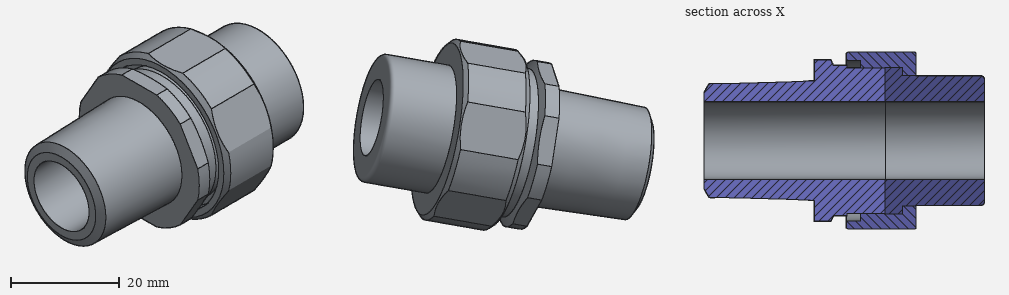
import cadquery as cq
import math

TOTAL_LENGTH = 51.55
BORE_DIAMETER = 14.25

TAPER_START_DIAMETER = 21.0
TAPER_END_DIAMETER = 22.05
TIP_DIAMETER = 17.7
TIP_CHAMFER_LENGTH = 1.0
FLANGE_FRONT = 20.25
FLANGE_CHAMFER_START = 23.0
FLANGE_BACK = 23.8
FLANGE_DIAMETER = 31.05
FLANGE_ACROSS_FLATS = 29.7
SHOULDER_DIAMETER = 27.7
SHOULDER_BACK = 26.3
NECK_DIAMETER = 26.8

NUT_FRONT = 26.15
NUT_BACK = 39.0
NUT_DIAMETER = 33.7
NUT_ACROSS_FLATS = 32.55
NUT_FACE_DIAMETER = 32.05
NUT_FRONT_CHAMFER_LENGTH = 1.0
NUT_BACK_CHAMFER_LENGTH = 0.75
NUT_RECESS_DIAMETER = 29.45
NUT_RECESS_DEPTH = 2.6
NUT_BACK_WALL = 2.6

SOCKET_DIAMETER = 23.85
SOCKET_EDGE_RADIUS = 0.75
COLLAR_LENGTH = 3.1

NUT_WALL_FRONT = NUT_BACK - NUT_BACK_WALL
JOINT_FACE = NUT_WALL_FRONT - COLLAR_LENGTH


def revolved(profile):
    """Solid of revolution about Y from (diameter, y) corners, closed along the axis."""
    corners = [(diameter / 2, y) for diameter, y in profile]
    outline = [(0, corners[0][1])] + corners + [(0, corners[-1][1])]
    return cq.Workplane("XY").polyline(outline).close().revolve(360, (0, 0, 0), (0, 1, 0))


def cylinder(diameter, start, end):
    """Solid cylinder along Y."""
    return revolved([(diameter, start), (diameter, end)])


def hexagon(across_flats, start, end):
    """Hexagonal prism along Y with flats facing +Z and -Z."""
    across_corners = across_flats / math.cos(math.pi / 6)
    section = cq.Workplane("XZ", origin=(0, start, 0)).polygon(6, across_corners)
    return section.extrude(start - end)


def make_tailpiece():
    """Tapered pipe end, hexagonal flange, shoulder and neck, with a through bore."""
    pipe = revolved([
        (TIP_DIAMETER, 0),
        (TAPER_START_DIAMETER, TIP_CHAMFER_LENGTH),
        (TAPER_END_DIAMETER, FLANGE_FRONT),
    ])
    flange = revolved([
        (FLANGE_DIAMETER, FLANGE_FRONT),
        (FLANGE_DIAMETER, FLANGE_CHAMFER_START),
        (SHOULDER_DIAMETER, FLANGE_BACK),
    ]).intersect(hexagon(FLANGE_ACROSS_FLATS, FLANGE_FRONT, FLANGE_BACK))
    shoulder = cylinder(SHOULDER_DIAMETER, FLANGE_BACK, SHOULDER_BACK)
    neck = cylinder(NECK_DIAMETER, SHOULDER_BACK, JOINT_FACE)
    bore = cylinder(BORE_DIAMETER, 0, JOINT_FACE)
    return pipe.union(flange).union(shoulder).union(neck).cut(bore)


def make_nut():
    """Hexagonal nut with rounded corners, chamfered ends and a stepped bore."""
    blank = revolved([
        (NUT_FACE_DIAMETER, NUT_FRONT),
        (NUT_DIAMETER, NUT_FRONT + NUT_FRONT_CHAMFER_LENGTH),
        (NUT_DIAMETER, NUT_BACK - NUT_BACK_CHAMFER_LENGTH),
        (NUT_FACE_DIAMETER, NUT_BACK),
    ]).intersect(hexagon(NUT_ACROSS_FLATS, NUT_FRONT, NUT_BACK))
    recess = cylinder(NUT_RECESS_DIAMETER, NUT_FRONT, NUT_FRONT + NUT_RECESS_DEPTH)
    neck_bore = cylinder(NECK_DIAMETER, NUT_FRONT, NUT_WALL_FRONT)
    socket_hole = cylinder(SOCKET_DIAMETER, NUT_FRONT, NUT_BACK)
    return blank.cut(recess).cut(neck_bore).cut(socket_hole)


def make_socket():
    """Plain tube with a rounded back edge and a retaining collar at the front."""
    tube = cylinder(SOCKET_DIAMETER, JOINT_FACE, TOTAL_LENGTH)
    tube = tube.faces(">Y").edges().fillet(SOCKET_EDGE_RADIUS)
    collar = cylinder(NECK_DIAMETER, JOINT_FACE, NUT_WALL_FRONT)
    bore = cylinder(BORE_DIAMETER, JOINT_FACE, TOTAL_LENGTH)
    return tube.union(collar).cut(bore)


tailpiece = make_tailpiece()
nut = make_nut()
socket = make_socket()

result = cq.Compound.makeCompound([tailpiece.solids().val(), nut.solids().val(), socket.solids().val()])